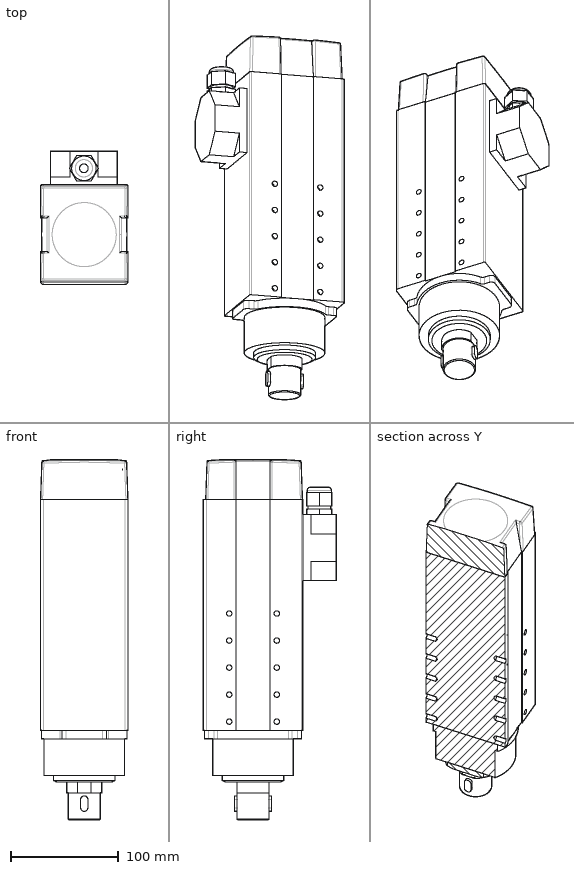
import cadquery as cq
import math


shaft_tip_length = 25.0
collar_length = 10.0
ring_height = 6.0
nose_height = 34.0
flange_height = 8.0
housing_height = 214.5
overall_height = 334.5
overall_depth = 123.8

collar_base_z = shaft_tip_length
ring_base_z = collar_base_z + collar_length
nose_base_z = ring_base_z + ring_height
flange_base_z = nose_base_z + nose_height
housing_base_z = flange_base_z + flange_height
cover_base_z = housing_base_z + housing_height
cover_height = overall_height - cover_base_z

housing_width = 81.3
housing_depth = 92.5
housing_front_radius = 3.0
housing_back_radius = 1.5
channel_width = 31.0
channel_depth = 1.0
channel_floor_x = housing_width / 2 - channel_depth

hole_diameter = 5.0
hole_depth = 10.0
hole_tip_angle = 118
hole_tip_height = hole_diameter / 2 / math.tan(math.radians(hole_tip_angle / 2))
hole_rows = 5
hole_pitch = 25.0
hole_half_spacing = 22.0
first_hole_z = housing_base_z + 8.0

cover_front_step = 2.5
cover_back_step = 0.5
cover_draft_angle = 2.0
cover_edge_radius = 2.0
crown_flat_radius = 29.8
crown_slope_angle = 3.5
cover_recess_angle = 8.5
recess_edge_radius = 2.0
crown_edge_radius = 1.7

nose_radius = 37.5
flange_radius = 39.8
flange_length = 90.3
tab_width = 41.5
tab_corner_radius = 4.0
ring_radius = 28.8
ring_chamfer_height = 1.7
ring_chamfer_width = 3.5
shaft_radius = 15.0
shaft_chamfer = 1.0
collar_radius = 16.5

key_width = 6.7
key_length = 14.5
key_height = 6.0
key_outer_y = 17.5
key_base_z = 8.0
key_seat_y = key_outer_y - key_height

box_offset_x = -0.5
box_width = 62.2
box_height = 61.5
box_base_z = 222.0
box_back_y = overall_depth - housing_depth / 2
box_plinth_depth = 7.5
box_corner_chamfer = 18.0
gland_y = 61.5
hex_sides = 6
gland_hex_flats = 23.5
gland_base_height = 5.0
gland_neck_height = 2.7
gland_neck_radius = 10.7
gland_nut_height = 12.7
gland_cap_height = 5.0
gland_cap_radius = 11.5
gland_cap_rounding = 3.5
gland_bore_radius = 4.0
box_front_y = housing_depth / 2
box_top_z = box_base_z + box_height


def block(x_range, y_range, z_range):
    """Axis-aligned block between the given limits."""
    (x0, x1), (y0, y1), (z0, z1) = x_range, y_range, z_range
    return cq.Workplane("XY").box(x1 - x0, y1 - y0, z1 - z0, centered=False).translate((x0, y0, z0))


def disc(radius, base_z, height):
    """Cylinder standing on the axis."""
    return cq.Workplane("XY").workplane(offset=base_z).circle(radius).extrude(height)


def make_mounting_hole(side, y, z):
    """Blind drilled hole with a pointed end, entering the housing side at X = side * half width."""
    profile = [
        (0, 0),
        (hole_diameter / 2, 0),
        (hole_diameter / 2, hole_depth),
        (0, hole_depth + hole_tip_height),
    ]
    hole = cq.Workplane("XY").polyline(profile).close().revolve(360, (0, 0, 0), (0, 1, 0))
    return hole.rotate((0, 0, 0), (0, 0, 1), side * 90).translate((side * housing_width / 2, y, z))


def make_housing():
    """Long rectangular case with a shallow channel and two rows of holes in each side."""
    housing = (
        cq.Workplane("XY").workplane(offset=housing_base_z)
        .rect(housing_width, housing_depth).extrude(housing_height)
    )
    housing = housing.edges("|Z and <Y").fillet(housing_front_radius)
    housing = housing.edges("|Z and >Y").fillet(housing_back_radius)
    for side in (-1, 1):
        channel = block(
            sorted((side * channel_floor_x, side * housing_width)),
            (-channel_width / 2, channel_width / 2),
            (housing_base_z, cover_base_z),
        )
        housing = housing.cut(channel)
        for row in range(hole_rows):
            for y in (-hole_half_spacing, hole_half_spacing):
                housing = housing.cut(make_mounting_hole(side, y, first_hole_z + row * hole_pitch))
    return housing


def make_recess_wedge(side):
    """Wedge whose floor leans inward from the channel floor, wide enough for the rounded mouth."""
    lean = cover_height * math.tan(math.radians(cover_recess_angle))
    width = channel_width + 2 * recess_edge_radius
    profile = [
        (side * channel_floor_x, cover_base_z),
        (side * (channel_floor_x - lean), overall_height),
        (side * housing_width, overall_height),
        (side * housing_width, cover_base_z),
    ]
    return cq.Workplane("XZ").workplane(offset=-width / 2).polyline(profile).close().extrude(width)


def make_recess_mouth(side):
    """Straight slot with rounded mouth edges, leaning with the drafted side face of the cover."""
    outer_x = side * housing_width / 2
    arc_x = outer_x - side * recess_edge_radius
    throat_y = channel_width / 2
    mouth_y = throat_y + recess_edge_radius
    arc_reach = recess_edge_radius * math.sin(math.pi / 4)
    arc_mid_x = arc_x + side * arc_reach
    arc_mid_y = mouth_y - arc_reach
    outline = (
        cq.Workplane("XY").workplane(offset=cover_base_z)
        .moveTo(0, -throat_y).lineTo(arc_x, -throat_y)
        .threePointArc((arc_mid_x, -arc_mid_y), (outer_x, -mouth_y))
        .lineTo(side * housing_width, -mouth_y)
        .lineTo(side * housing_width, mouth_y)
        .lineTo(outer_x, mouth_y)
        .threePointArc((arc_mid_x, arc_mid_y), (arc_x, throat_y))
        .lineTo(0, throat_y).close()
    )
    draft_shift = cover_height * math.tan(math.radians(cover_draft_angle))
    lean = cq.Vector(-side * draft_shift, 0, cover_height)
    return cq.Workplane(cq.Solid.extrudeLinear(cq.Face.makeFromWires(outline.val()), lean))


def make_crown():
    """Revolved envelope with a flat central disc and a shallow conical slope around it."""
    outer_radius = housing_depth
    drop = (outer_radius - crown_flat_radius) * math.tan(math.radians(crown_slope_angle))
    profile = [
        (0, cover_base_z),
        (outer_radius, cover_base_z),
        (outer_radius, overall_height - drop),
        (crown_flat_radius, overall_height),
        (0, overall_height),
    ]
    return cq.Workplane("XZ").polyline(profile).close().revolve(360, (0, 0, 0), (0, 1, 0))


def make_cover():
    """Drafted cap with a crowned top, rounded rim and a leaning recess in each side."""
    cover = (
        cq.Workplane("XY").workplane(offset=cover_base_z)
        .center(0, (cover_front_step - cover_back_step) / 2)
        .rect(housing_width, housing_depth - cover_front_step - cover_back_step)
        .extrude(cover_height, taper=cover_draft_angle)
    )
    cover = cover.edges("not(#Z)").fillet(cover_edge_radius)
    for side in (-1, 1):
        cover = cover.cut(make_recess_wedge(side).intersect(make_recess_mouth(side)))
    cover = cover.intersect(make_crown())
    rim = cover.faces("%CONE").edges("not (%CIRCLE or %LINE)")
    return rim.fillet(crown_edge_radius)


def make_bearing_flange():
    """Round flange with two rounded tabs along Y, and the cylindrical nose below it."""
    flange = disc(flange_radius, flange_base_z, flange_height)
    tabs = block(
        (-tab_width / 2, tab_width / 2),
        (-flange_length / 2, flange_length / 2),
        (flange_base_z, housing_base_z),
    )
    flange = flange.union(tabs)
    tab_edges = flange.edges("|Z").filter(lambda edge: abs(edge.Center().y) > tab_width / 2)
    flange = tab_edges.fillet(tab_corner_radius)
    return flange.union(disc(nose_radius, nose_base_z, nose_height))


def make_ring():
    """Chamfered disc closing the nose."""
    ring = disc(ring_radius, ring_base_z, ring_height)
    return ring.faces("<Z").chamfer(ring_chamfer_height, ring_chamfer_width)


def make_key(side):
    """Round-ended key lying along the shaft."""
    key = cq.Workplane("XZ").slot2D(key_length, key_width, 90).extrude(-side * key_height)
    return key.translate((0, side * key_seat_y, key_base_z + key_length / 2))


def make_shaft(keys):
    """Shaft end with a two-flat collar and a seat for each key."""
    tip = disc(shaft_radius, 0, shaft_tip_length).faces("<Z").chamfer(shaft_chamfer)
    flats = block(
        (-collar_radius, collar_radius),
        (-shaft_radius, shaft_radius),
        (collar_base_z, ring_base_z),
    )
    collar = disc(collar_radius, collar_base_z, collar_length).intersect(flats)
    shaft = tip.union(collar)
    for key in keys:
        shaft = shaft.cut(key)
    return shaft


def make_terminal_box():
    """Box on the back of the housing: a full plinth and a body with chamfered corners."""
    x_range = (box_offset_x - box_width / 2, box_offset_x + box_width / 2)
    z_range = (box_base_z, box_top_z)
    plinth_y = box_front_y + box_plinth_depth
    plinth = block(x_range, (box_front_y, plinth_y), z_range)
    body = block(x_range, (plinth_y, box_back_y), z_range).edges("|Y").chamfer(box_corner_chamfer)
    return plinth.union(body)


def make_gland():
    """Cable gland standing on the terminal box: hexagon, neck, hexagon nut and rounded cap."""
    hex_corners = gland_hex_flats / math.cos(math.pi / hex_sides)
    gland = cq.Workplane("XY").polygon(hex_sides, hex_corners).extrude(gland_base_height)
    gland = gland.faces(">Z").workplane().circle(gland_neck_radius).extrude(gland_neck_height)
    gland = gland.faces(">Z").workplane().polygon(hex_sides, hex_corners).extrude(gland_nut_height)
    gland = gland.faces(">Z").workplane().circle(gland_cap_radius).extrude(gland_cap_height)
    gland = gland.faces(">Z").edges().fillet(gland_cap_rounding)
    gland = gland.faces(">Z").workplane().circle(gland_bore_radius).cutThruAll()
    return gland.translate((box_offset_x, gland_y, box_top_z))


housing = make_housing()
cover = make_cover()
bearing_flange = make_bearing_flange()
ring = make_ring()
keys = [make_key(side) for side in (-1, 1)]
shaft = make_shaft(keys)
terminal_box = make_terminal_box()
gland = make_gland()

result = cq.Compound.makeCompound([
    housing.val(),
    cover.val(),
    bearing_flange.val(),
    ring.val(),
    shaft.val(),
    *[key.val() for key in keys],
    terminal_box.val(),
    gland.val(),
])